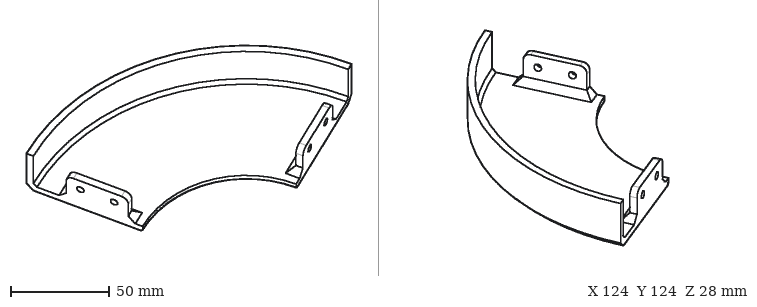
import cadquery as cq

outer_radius = 124.0
inner_radius = 58.5
height = 28.0
wall = 4.0
outer_chamfer = wall
inner_chamfer = 1.0
corner_chamfer = 2.0
sweep_angle = 90

tab_center = 84.1
tab_width = 35.0
tab_thickness = wall
tab_top = 22.0
tab_corner_radius = 4.0
foot_flare = 4.0
hole_diameter = 4.0
hole_spacing = 19.0
hole_height = 15.0


def make_tray():
    """Revolve the tray section through a quarter turn, from -X round to +Y."""
    rim_inner = outer_radius - wall
    section = [
        (-inner_radius - inner_chamfer, 0),
        (-outer_radius + outer_chamfer, 0),
        (-outer_radius, outer_chamfer),
        (-outer_radius, height),
        (-rim_inner, height),
        (-rim_inner, wall + corner_chamfer),
        (-rim_inner + corner_chamfer, wall),
        (-inner_radius, wall),
        (-inner_radius, inner_chamfer),
    ]
    profile = cq.Workplane("XZ").polyline(section).close()
    return profile.revolve(sweep_angle, (0, 0, 0), (0, -1, 0))


def make_tab():
    """Tab with a flared foot on the end at Y = 0, drilled with two holes."""
    plate = (
        cq.Workplane("XY")
        .box(tab_width, tab_thickness, tab_top - wall, centered=(True, False, False))
        .edges("|Y and >Z")
        .fillet(tab_corner_radius)
    )
    foot = (
        cq.Workplane("XY")
        .rect(tab_width + 2 * foot_flare, 2 * (tab_thickness + foot_flare))
        .workplane(offset=foot_flare)
        .rect(tab_width, 2 * tab_thickness)
        .loft(ruled=True)
    )
    clip = cq.Workplane("XY").box(
        2 * tab_width, tab_width, tab_top, centered=(True, False, False)
    )
    holes = (
        cq.Workplane("XZ")
        .pushPoints([(side * hole_spacing / 2, hole_height - wall) for side in (-1, 1)])
        .circle(hole_diameter / 2)
        .extrude(-tab_thickness)
    )
    tab = plate.union(foot.intersect(clip)).cut(holes)
    return tab.translate((-tab_center, 0, wall))


front_tab = make_tab()
side_tab = front_tab.mirror("XZ").rotate((0, 0, 0), (0, 0, 1), -sweep_angle)

result = make_tray().union(front_tab).union(side_tab)